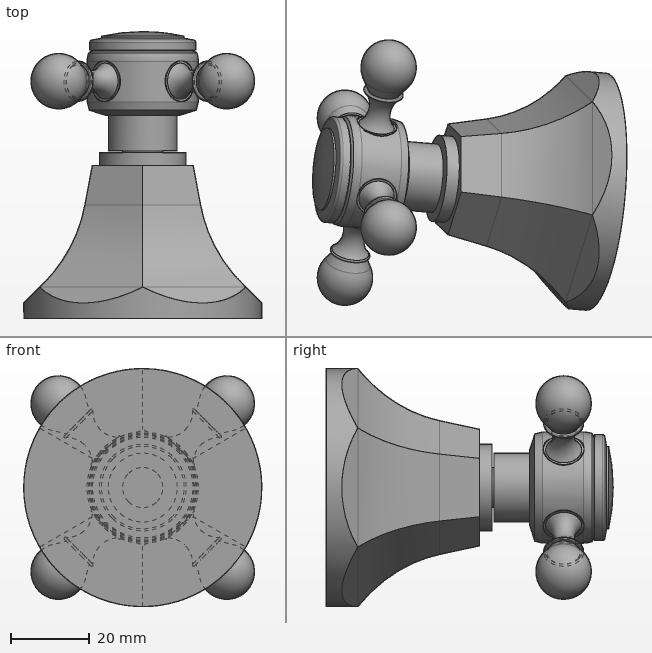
import cadquery as cq
import math

total_height = 72.7

base_radius = 30.2
flare_foot_height = 8.0
taper_start_height = 28.7
taper_start_apothem = 14.7
escutcheon_height = 38.8
escutcheon_top_apothem = 12.8
hexagon_sides = 6

collar_radius = 11.0
collar_top = 42.0
neck_radius = 5.1
stem_radius = 8.7
stem_bottom = 42.45

hub_bottom = 51.5
hub_bottom_radius = 9.45
hub_cone_top = 52.8
hub_cone_radius = 13.6
hub_radius = 14.1
hub_barrel_bottom = 54.8
hub_barrel_top = 65.1
hub_shoulder_height = 67.25
hub_shoulder_radius = 13.75
hub_top = 67.75
hub_top_radius = 13.1

groove_radius = 12.7
cap_bottom = 68.0
cap_radius = 13.45
cap_rim_height = 69.9
cap_rim_rounding = 0.65
cap_ledge_height = 71.0
dome_radius = 10.5
dome_bottom = 71.5

spoke_count = 4
first_spoke_angle = 45.0
spoke_height = 60.1
ball_radius = 7.05
ball_distance = 30.1
ball_cone_offset = 4.2
ring_distance = 23.0
ring_thickness = 0.65
ring_radius = 5.1
ball_cone_end_radius = 4.15
waist_distance = 17.95
waist_radius = 2.75
waist_arc_radius = 6.55
foot_top_distance = 13.45
foot_radius = 5.15
foot_bottom_distance = 7.3


def waist_profile_radius(distance):
    """Spoke radius on the concave arc, at a distance from the tap axis."""
    offset = distance - waist_distance
    return waist_radius + waist_arc_radius - math.sqrt(waist_arc_radius**2 - offset**2)


def make_flared_slab():
    """Slab whose two curved sides are one opposite pair of escutcheon faces."""
    flare_foot_apothem = base_radius * math.cos(math.pi / hexagon_sides)
    slab_bottom_apothem = flare_foot_apothem + flare_foot_height
    half_profile = (
        cq.Workplane("XY")
        .moveTo(0, 0)
        .lineTo(0, escutcheon_height)
        .lineTo(escutcheon_top_apothem, escutcheon_height)
        .lineTo(taper_start_apothem, taper_start_height)
        .tangentArcPoint((flare_foot_apothem, flare_foot_height), relative=False)
        .lineTo(slab_bottom_apothem, 0)
        .close()
    )
    half_slab = half_profile.extrude(base_radius, both=True)
    return half_slab.union(half_slab.mirror("YZ"))


def make_escutcheon():
    """Round base cut down by three slabs to a flared hexagon."""
    slab = make_flared_slab()
    escutcheon = cq.Workplane("XZ").circle(base_radius).extrude(-escutcheon_height)
    slab_count = hexagon_sides // 2
    for index in range(slab_count):
        turn = index * 180.0 / slab_count
        escutcheon = escutcheon.intersect(slab.rotate((0, 0, 0), (0, 1, 0), turn))
    return escutcheon


def make_turned_body():
    """Collar, neck, stem, hub and domed cap, turned about the Y axis."""
    rounding_middle = cap_rim_rounding * math.cos(math.pi / 4)
    rim_centre_radius = cap_radius - cap_rim_rounding
    dome_rise = total_height - dome_bottom
    dome_sphere_radius = (dome_radius**2 + dome_rise**2) / (2 * dome_rise)
    dome_middle_radius = dome_radius / 2
    dome_middle_height = (
        total_height - dome_sphere_radius + math.sqrt(dome_sphere_radius**2 - dome_middle_radius**2)
    )
    return (
        cq.Workplane("XY")
        .moveTo(0, 0)
        .lineTo(neck_radius, 0)
        .lineTo(neck_radius, escutcheon_height)
        .lineTo(collar_radius, escutcheon_height)
        .lineTo(collar_radius, collar_top)
        .lineTo(neck_radius, collar_top)
        .lineTo(neck_radius, stem_bottom)
        .lineTo(stem_radius, stem_bottom)
        .lineTo(stem_radius, hub_bottom)
        .lineTo(hub_bottom_radius, hub_bottom)
        .lineTo(hub_cone_radius, hub_cone_top)
        .lineTo(hub_radius, hub_barrel_bottom)
        .lineTo(hub_radius, hub_barrel_top)
        .tangentArcPoint((hub_shoulder_radius, hub_shoulder_height), relative=False)
        .lineTo(hub_top_radius, hub_top)
        .lineTo(groove_radius, hub_top)
        .lineTo(groove_radius, cap_bottom)
        .lineTo(cap_radius, cap_bottom)
        .lineTo(cap_radius, cap_rim_height)
        .threePointArc(
            (rim_centre_radius + rounding_middle, cap_rim_height + rounding_middle),
            (rim_centre_radius, cap_rim_height + cap_rim_rounding),
        )
        .lineTo(dome_radius, cap_ledge_height)
        .lineTo(dome_radius, dome_bottom)
        .threePointArc((dome_middle_radius, dome_middle_height), (0, total_height))
        .close()
        .revolve(360, (0, 0), (0, 1))
    )


def make_spoke_seat():
    """Cutter for the flat-bottomed round seat of one spoke, along +X."""
    seat_length = ball_distance - foot_top_distance
    return (
        cq.Workplane("YZ", origin=(foot_top_distance, spoke_height, 0))
        .circle(foot_radius)
        .extrude(seat_length)
    )


def make_spoke():
    """Spoke with ball end along +X, turned about its own axis."""
    ring_inner = ring_distance - ring_thickness / 2
    ring_outer = ring_distance + ring_thickness / 2
    ring_side_radius = ring_radius - ring_thickness / 2
    ball_cone_radius = math.sqrt(ball_radius**2 - ball_cone_offset**2)
    return (
        cq.Workplane("XY")
        .moveTo(foot_bottom_distance, 0)
        .lineTo(foot_bottom_distance, foot_radius)
        .lineTo(foot_top_distance, foot_radius)
        .lineTo(foot_top_distance, waist_profile_radius(foot_top_distance))
        .threePointArc((waist_distance, waist_radius), (ring_inner, waist_profile_radius(ring_inner)))
        .lineTo(ring_inner, ring_side_radius)
        .threePointArc((ring_distance, ring_radius), (ring_outer, ring_side_radius))
        .lineTo(ring_outer, ball_cone_end_radius)
        .lineTo(ball_distance - ball_cone_offset, ball_cone_radius)
        .threePointArc((ball_distance, ball_radius), (ball_distance + ball_radius, 0))
        .close()
        .revolve(360, (0, 0), (1, 0))
        .translate((0, spoke_height, 0))
    )


result = make_escutcheon().union(make_turned_body())
seat = make_spoke_seat()
spoke = make_spoke()
for index in range(spoke_count):
    spoke_angle = first_spoke_angle + index * 360.0 / spoke_count
    result = result.cut(seat.rotate((0, 0, 0), (0, 1, 0), spoke_angle))
    result = result.union(spoke.rotate((0, 0, 0), (0, 1, 0), spoke_angle))